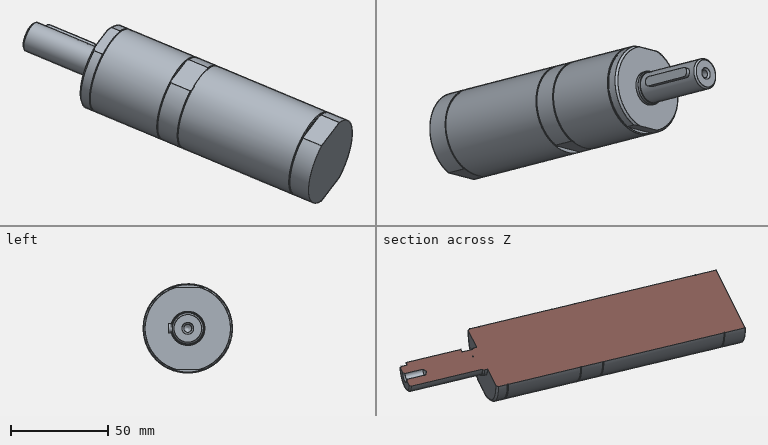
import cadquery as cq
import math

SHAFT_FREE_END = 0.0
COLLAR_START = 39.5
HEAD_FACE = 42.0
FRONT_BODY_START = 48.1
MIDDLE_FLATS_START = 87.9
MIDDLE_FLATS_END = 100.5
REAR_FLATS_START = 166.3
REAR_END = 177.5

BODY_RADIUS = 46.0 / 2
SHAFT_RADIUS = 16.0 / 2
COLLAR_RADIUS = 17.5 / 2
COLLAR_TIP_RADIUS = 16.9 / 2
SHAFT_CHAMFER = 0.9
COLLAR_TAPER_LENGTH = 0.9
HEAD_CHAMFER = 1.0
BODY_EDGE_CHAMFER = 0.5

RELIEF_WIDTH = 0.5
RELIEF_DEPTH = 0.2

ACROSS_FLATS = 42.0

KEY_START = 4.0
KEY_LENGTH = 30.0
KEY_WIDTH = 5.0
KEY_TOP = 10.0
KEY_SEAT = 6.0

HOLE_RADIUS = 4.0 / 2
HOLE_DEPTH = 10.6
HOLE_MOUTH_RADIUS = 6.0 / 2
DRILL_POINT_ANGLE = 118.0


def cylinder(start, end, radius):
    """Solid cylinder about the X axis between two stations."""
    return cq.Workplane("YZ", origin=(start, 0, 0)).circle(radius).extrude(end - start)


def make_shaft():
    shaft = cylinder(SHAFT_FREE_END, HEAD_FACE, SHAFT_RADIUS).faces("<X").chamfer(SHAFT_CHAMFER)
    collar = (
        cq.Workplane("XY")
        .moveTo(COLLAR_START, 0)
        .lineTo(COLLAR_START, COLLAR_TIP_RADIUS)
        .lineTo(COLLAR_START + COLLAR_TAPER_LENGTH, COLLAR_RADIUS)
        .lineTo(HEAD_FACE, COLLAR_RADIUS)
        .lineTo(HEAD_FACE, 0)
        .close()
        .revolve(360, (0, 0, 0), (1, 0, 0))
    )
    return shaft.union(collar)


def make_key():
    key_middle = KEY_START + KEY_LENGTH / 2
    return (
        cq.Workplane("XZ", origin=(key_middle, KEY_SEAT, 0))
        .slot2D(KEY_LENGTH, KEY_WIDTH)
        .extrude(-(KEY_TOP - KEY_SEAT))
    )


def make_flatted_section(start, end, section):
    """Trim a round section to the distance across the wrench flats."""
    length = end - start
    trim = cq.Workplane("XY").box(length, 2 * BODY_RADIUS, ACROSS_FLATS)
    return section.intersect(trim.translate((start + length / 2, 0, 0)))


def make_head():
    section = cylinder(HEAD_FACE, FRONT_BODY_START, BODY_RADIUS).faces("<X").chamfer(HEAD_CHAMFER)
    return make_flatted_section(HEAD_FACE, FRONT_BODY_START, section)


def make_middle_ring():
    section = cylinder(MIDDLE_FLATS_START, MIDDLE_FLATS_END, BODY_RADIUS - RELIEF_DEPTH)
    land = cylinder(MIDDLE_FLATS_START + RELIEF_WIDTH, MIDDLE_FLATS_END - RELIEF_WIDTH, BODY_RADIUS)
    return make_flatted_section(MIDDLE_FLATS_START, MIDDLE_FLATS_END, section.union(land))


def make_rear_cap():
    section = cylinder(REAR_FLATS_START, REAR_END, BODY_RADIUS)
    return make_flatted_section(REAR_FLATS_START, REAR_END, section)


def make_front_body():
    body = cylinder(FRONT_BODY_START, MIDDLE_FLATS_START, BODY_RADIUS)
    return body.faces("<X").chamfer(BODY_EDGE_CHAMFER)


def make_rear_body():
    body = cylinder(MIDDLE_FLATS_END, REAR_FLATS_START, BODY_RADIUS)
    return body.faces(">X").chamfer(BODY_EDGE_CHAMFER)


def make_centre_hole():
    """Countersunk blind hole with a conical drill point."""
    mouth_depth = HOLE_MOUTH_RADIUS - HOLE_RADIUS
    point_depth = HOLE_RADIUS / math.tan(math.radians(DRILL_POINT_ANGLE / 2))
    profile = (
        cq.Workplane("XY")
        .moveTo(SHAFT_FREE_END, 0)
        .lineTo(SHAFT_FREE_END, HOLE_MOUTH_RADIUS)
        .lineTo(SHAFT_FREE_END + mouth_depth, HOLE_RADIUS)
        .lineTo(SHAFT_FREE_END + HOLE_DEPTH, HOLE_RADIUS)
        .lineTo(SHAFT_FREE_END + HOLE_DEPTH + point_depth, 0)
        .close()
    )
    return profile.revolve(360, (0, 0, 0), (1, 0, 0))


result = (
    make_shaft()
    .union(make_key())
    .union(make_head())
    .union(make_front_body())
    .union(make_middle_ring())
    .union(make_rear_body())
    .union(make_rear_cap())
    .cut(make_centre_hole())
)